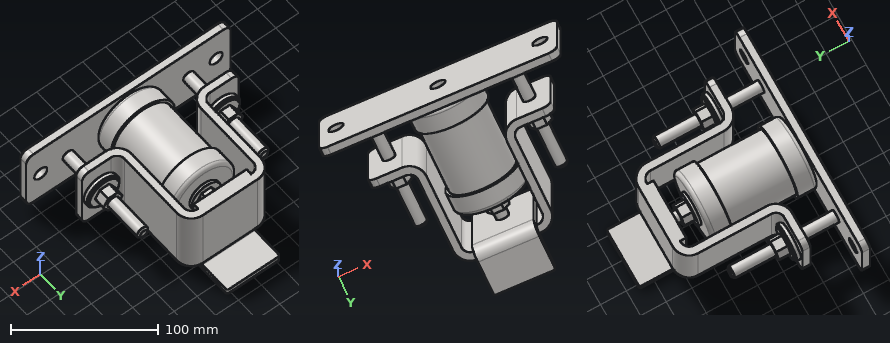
import cadquery as cq
import math

plate_length = 177.8
plate_height = 57.15
plate_thickness = 6.35
plate_corner_radius = 6.35
plate_hole_diameter = 11.1125
plate_hole_offset = 76.2

can_length = 82.55
can_diameter = 50.8
cap_diameter = 55.5625
cap_height = 15.875
cap_edge_radius = 3.175

bracket_thickness = 6.35
bracket_width = 73.025
bracket_span = 136.525
bracket_flange_y = 34.925
bracket_top_y = 117.475
bracket_inner_bend = 6.35
bracket_outer_bend = bracket_inner_bend + bracket_thickness
flange_corner_radius = 6.35

strap_width = 46.0375
strap_thickness = 4.7625
strap_end_y = 142.875
strap_drop = 9.525
strap_inner_bend = 4.7625
strap_outer_bend = strap_inner_bend + strap_thickness
strap_corner_radius = 1.5875

stud_diameter = 9.525
stud_offset = 52.3875
stud_chamfer = 1.5875
nut_across_flats = 14.2875
side_nut_height = 9.128
center_nut_height = 8.334
washer_diameter = 25.4
washer_thickness = 1.5875
center_washer_thickness = 2.38125
flange_washer_diameter = 28.575
flange_washer_thickness = 3.175

can_end_y = plate_thickness + can_length
bracket_inner_top_y = bracket_top_y - bracket_thickness
strap_front_y = bracket_inner_top_y - strap_thickness
stud_end_y = can_end_y


def plane_at(y):
    """Plane facing +Y at the given height, with local x along +X and local y along -Z."""
    return cq.Workplane(cq.Plane(origin=(0, y, 0), xDir=(1, 0, 0), normal=(0, 1, 0)))


def disc(x, y, diameter, height):
    """Round disc or rod along +Y, starting at the given height."""
    return plane_at(y).center(x, 0).circle(diameter / 2).extrude(height)


def hex_nut(x, y, height):
    """Hexagon nut with two of its corners pointing along X."""
    across_corners = nut_across_flats / math.cos(math.pi / 6)
    return plane_at(y).center(x, 0).polygon(6, across_corners).extrude(height)


def make_plate():
    """Base plate with rounded corners and three holes through its thickness."""
    plate = plane_at(0).rect(plate_length, plate_height).extrude(plate_thickness)
    plate = plate.edges("|Y").fillet(plate_corner_radius)
    hole_places = [(-plate_hole_offset, 0), (0, 0), (plate_hole_offset, 0)]
    holes = plane_at(0).pushPoints(hole_places).circle(plate_hole_diameter / 2).extrude(plate_thickness)
    return plate.cut(holes)


def make_can():
    """Round body between two wider caps with rounded outer edges."""
    upper_cap_y = can_end_y - cap_height
    lower_cap = disc(0, plate_thickness, cap_diameter, cap_height)
    lower_cap = lower_cap.faces("<Y").edges().fillet(cap_edge_radius)
    upper_cap = disc(0, upper_cap_y, cap_diameter, cap_height)
    upper_cap = upper_cap.faces(">Y").edges().fillet(cap_edge_radius)
    body = disc(0, plate_thickness + cap_height, can_diameter, can_length - 2 * cap_height)
    return body.union(lower_cap).union(upper_cap)


def bracket_half(side):
    """Half of the hat profile, from the middle of the top to the flange end on one side."""
    wall_outer_x = side * bracket_width / 2
    wall_inner_x = wall_outer_x - side * bracket_thickness
    end_x = side * bracket_span / 2
    flange_top_y = bracket_flange_y + bracket_thickness
    profile = (
        cq.Workplane("XY", origin=(0, 0, -plate_height / 2))
        .moveTo(0, bracket_top_y)
        .lineTo(wall_outer_x, bracket_top_y)
        .lineTo(wall_outer_x, flange_top_y)
        .lineTo(end_x, flange_top_y)
        .lineTo(end_x, bracket_flange_y)
        .lineTo(wall_inner_x, bracket_flange_y)
        .lineTo(wall_inner_x, bracket_inner_top_y)
        .lineTo(0, bracket_inner_top_y)
        .close()
        .extrude(plate_height)
    )

    def bend_edge(x, y):
        return cq.selectors.NearestToPointSelector((x, y, 0))

    for x, y in [(wall_outer_x, bracket_top_y), (wall_inner_x, bracket_flange_y)]:
        profile = profile.edges("|Z").edges(bend_edge(x, y)).fillet(bracket_outer_bend)
    for x, y in [(wall_inner_x, bracket_inner_top_y), (wall_outer_x, flange_top_y)]:
        profile = profile.edges("|Z").edges(bend_edge(x, y)).fillet(bracket_inner_bend)
    end_selector = ">X" if side > 0 else "<X"
    return profile.faces(end_selector).edges("|Y").fillet(flange_corner_radius)


def make_strap():
    """Strap flush with the top of the bracket, bent outward below it."""
    top_z = plate_height / 2
    bottom_z = -plate_height / 2 - strap_drop
    ledge_z = bottom_z + strap_thickness
    bend_y = bracket_inner_top_y + strap_inner_bend
    bend_z = ledge_z + strap_inner_bend
    diagonal = math.sqrt(0.5)
    strap = (
        cq.Workplane("YZ", origin=(-strap_width / 2, 0, 0))
        .moveTo(strap_front_y, top_z)
        .lineTo(strap_front_y, bend_z)
        .threePointArc(
            (bend_y - strap_outer_bend * diagonal, bend_z - strap_outer_bend * diagonal),
            (bend_y, bottom_z),
        )
        .lineTo(strap_end_y, bottom_z)
        .lineTo(strap_end_y, ledge_z)
        .lineTo(bend_y, ledge_z)
        .threePointArc(
            (bend_y - strap_inner_bend * diagonal, bend_z - strap_inner_bend * diagonal),
            (bracket_inner_top_y, bend_z),
        )
        .lineTo(bracket_inner_top_y, top_z)
        .close()
        .extrude(strap_width)
    )
    return strap.faces(">Y").edges("|Z").fillet(strap_corner_radius)


def side_fastener(x):
    """Stud from the plate through the bracket flange, with two washers and a nut."""
    stud = disc(x, plate_thickness, stud_diameter, stud_end_y - plate_thickness)
    stud = stud.faces(">Y").edges().chamfer(stud_chamfer)
    flange_washer_y = bracket_flange_y + bracket_thickness
    washer_y = flange_washer_y + flange_washer_thickness
    nut_y = washer_y + washer_thickness
    return (
        stud.union(disc(x, flange_washer_y, flange_washer_diameter, flange_washer_thickness))
        .union(disc(x, washer_y, washer_diameter, washer_thickness))
        .union(hex_nut(x, nut_y, side_nut_height))
    )


def center_fastener():
    """Washer, nut and stud joining the end of the can to the strap."""
    nut_y = can_end_y + center_washer_thickness
    return (
        disc(0, can_end_y, washer_diameter, center_washer_thickness)
        .union(hex_nut(0, nut_y, center_nut_height))
        .union(disc(0, can_end_y, stud_diameter, strap_front_y - can_end_y))
    )


result = make_plate().union(make_can())
for side in (-1, 1):
    result = result.union(side_fastener(side * stud_offset))
    result = result.union(bracket_half(side))
result = result.union(make_strap()).union(center_fastener()).clean()